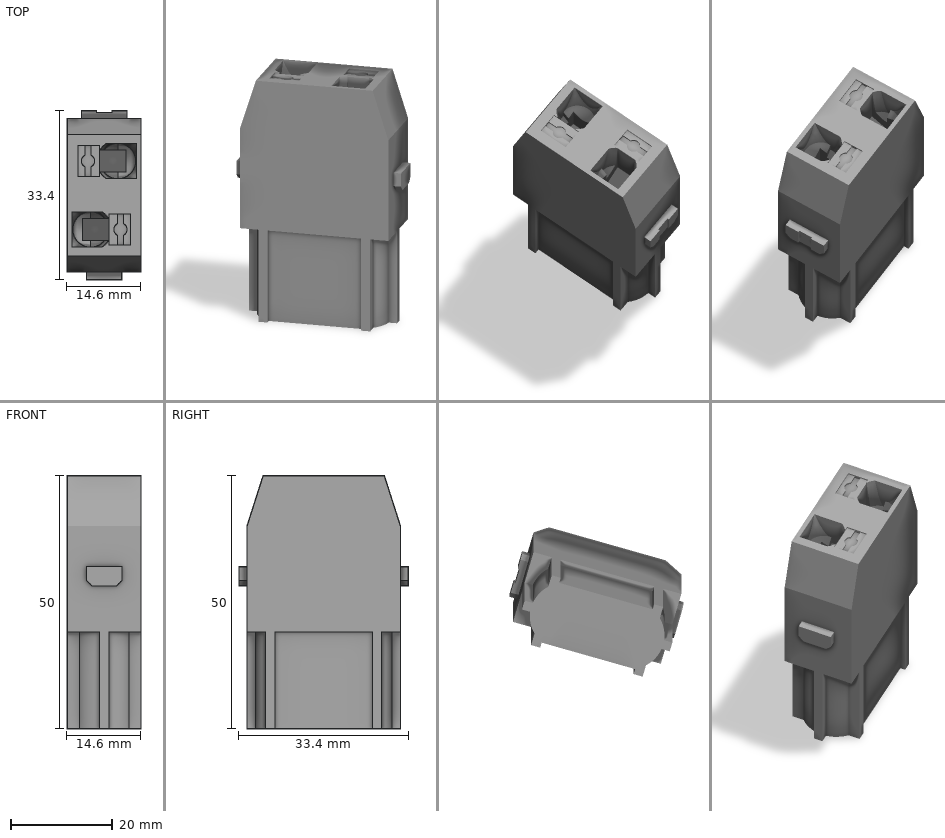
import cadquery as cq
import math


HEIGHT = 49.95
WIDTH = 14.6
LENGTH = 30.3
SKIRT_HEIGHT = 19.1
BEVEL_HEIGHT = 10.0
BEVEL_INSET = 3.2

TAB_REACH = 1.55
TAB_TOP = 32.0
TAB_HEIGHT = 3.8
TAB_CHAMFER = 1.05
FRONT_TAB_WIDTH = 7.0
REAR_TAB_WIDTH = 9.0
TAB_NOTCH_WIDTH = 3.0
TAB_NOTCH_DEPTH = 0.35

SIDE_RECESS = 1.05
SIDE_RIB_OUTER = 11.45
SIDE_RIB_WIDTH = 1.85
END_RADIUS = 6.8
KEY_WIDTH = 1.85

POLE_Y = 6.75
ENTRY_OUTER_X = -6.4
ENTRY_INNER_X = 0.9
FUNNEL_X = -2.7
ENTRY_LENGTH = 6.9
INNER_TOP_RADIUS = 4.15
FUNNEL_RADIUS = 3.5
FUNNEL_TIP_RADIUS = 1.5
OUTER_SEAT_DEPTH = 4.85
INNER_SEAT_DEPTH = 6.5

BUTTON_WIDTH = 4.3
BUTTON_LENGTH = 6.1
BUTTON_HEIGHT = 13.0
BUTTON_RECESS = 0.3
GROOVE_X = 3.2
GROOVE_WIDTH = 1.2
GROOVE_RADIUS = 1.3
GROOVE_DEPTH = 0.4

CLAMP_OUTER_X = -4.3
CLAMP_LENGTH = 4.4
CLAMP_SLOPE = 26.0
CLAMP_TOP_DEPTH = 8.6

BUTTON_BOTTOM = HEIGHT - BUTTON_RECESS - BUTTON_HEIGHT


def block(x_min, x_max, y_min, y_max, z_min, z_max):
    """Box between two opposite corners."""
    size = (x_max - x_min, y_max - y_min, z_max - z_min)
    return cq.Workplane("XY").box(*size, centered=False).translate((x_min, y_min, z_min))


def place_pole(part, pole):
    """Move a part built for pole 0 to the given pole (0 or 1)."""
    return part.rotate((0, 0, 0), (0, 0, 1), 180 * pole)


def upper_block():
    """Upper housing with bevelled shoulders towards both ends."""
    half = LENGTH / 2
    shoulder = HEIGHT - BEVEL_HEIGHT
    outline = [
        (-half, SKIRT_HEIGHT),
        (half, SKIRT_HEIGHT),
        (half, shoulder),
        (half - BEVEL_INSET, HEIGHT),
        (BEVEL_INSET - half, HEIGHT),
        (-half, shoulder),
    ]
    return cq.Workplane("YZ").polyline(outline).close().extrude(WIDTH / 2, both=True)


def skirt():
    """Plug skirt: core with four side ribs, and rounded ends that each carry a key rib."""
    half_width = WIDTH / 2
    core_x = half_width - SIDE_RECESS
    body = block(-core_x, core_x, -SIDE_RIB_OUTER, SIDE_RIB_OUTER, 0, SKIRT_HEIGHT)
    rib = block(-half_width, half_width, SIDE_RIB_OUTER - SIDE_RIB_WIDTH, SIDE_RIB_OUTER, 0, SKIRT_HEIGHT)
    round_end = cq.Workplane("XY").center(0, POLE_Y).circle(END_RADIUS).extrude(SKIRT_HEIGHT)
    round_end = round_end.intersect(
        block(-half_width, half_width, SIDE_RIB_OUTER, LENGTH / 2, 0, SKIRT_HEIGHT)
    )
    key = block(-KEY_WIDTH / 2, KEY_WIDTH / 2, 0, LENGTH / 2, 0, SKIRT_HEIGHT)
    end = rib.union(round_end).union(key)
    for pole in range(2):
        body = body.union(place_pole(end, pole))
    return body


def latch_tab(width):
    """Tab on the -Y end, with chamfered lower corners."""
    bottom = TAB_TOP - TAB_HEIGHT
    tab = block(-width / 2, width / 2, -LENGTH / 2 - TAB_REACH, 0, bottom, TAB_TOP)
    return tab.edges("|Y and <Z").chamfer(TAB_CHAMFER)


def rear_tab():
    """Wider tab on the +Y end, with a shallow notch across its face."""
    tab = place_pole(latch_tab(REAR_TAB_WIDTH), 1)
    face = LENGTH / 2 + TAB_REACH
    half_notch = TAB_NOTCH_WIDTH / 2
    return tab.cut(block(-half_notch, half_notch, face - TAB_NOTCH_DEPTH, face, 0, HEIGHT))


def half_funnel(top_radius, seat_depth, turn):
    """Half turn of a steep cone above a 45 degree cone, towards -X before the given turn."""
    seat = HEIGHT - seat_depth
    tip = seat - (FUNNEL_RADIUS - FUNNEL_TIP_RADIUS)
    profile = [
        (0, tip),
        (FUNNEL_TIP_RADIUS, tip),
        (FUNNEL_RADIUS, seat),
        (top_radius, HEIGHT),
        (0, HEIGHT),
    ]
    half = cq.Workplane("YZ").polyline(profile).close().revolve(180, (0, 0, 0), (0, 1, 0))
    return half.rotate((0, 0, 0), (0, 0, 1), turn).translate((FUNNEL_X, -POLE_Y, 0))


def wire_entry():
    """Entry with square corners on its outer half and rounded corners beside the button."""
    corner_radius = math.hypot(FUNNEL_X - ENTRY_OUTER_X, ENTRY_LENGTH / 2)
    outer = half_funnel(corner_radius, OUTER_SEAT_DEPTH, 0)
    inner = half_funnel(INNER_TOP_RADIUS, INNER_SEAT_DEPTH, 180)
    y_min = -POLE_Y - ENTRY_LENGTH / 2
    rectangle = block(ENTRY_OUTER_X, ENTRY_INNER_X, y_min, y_min + ENTRY_LENGTH, 0, HEIGHT)
    return outer.union(inner).intersect(rectangle)


def button_blank(top):
    """Plain button block up to the given height."""
    return block(
        ENTRY_INNER_X,
        ENTRY_INNER_X + BUTTON_WIDTH,
        -POLE_Y - BUTTON_LENGTH / 2,
        -POLE_Y + BUTTON_LENGTH / 2,
        BUTTON_BOTTOM,
        top,
    )


def clamp_blank():
    """Plain clamp block up to the top of the housing."""
    half_length = CLAMP_LENGTH / 2
    return block(
        CLAMP_OUTER_X, ENTRY_INNER_X, -POLE_Y - half_length, -POLE_Y + half_length, BUTTON_BOTTOM, HEIGHT
    )


def clamp_space():
    """Prism below the clamp's inclined face, which rises towards the button."""
    high = HEIGHT - CLAMP_TOP_DEPTH
    low = high - (ENTRY_INNER_X - CLAMP_OUTER_X) * math.tan(math.radians(CLAMP_SLOPE))
    outline = [
        (CLAMP_OUTER_X, 0),
        (ENTRY_INNER_X, 0),
        (ENTRY_INNER_X, high),
        (CLAMP_OUTER_X, low),
    ]
    return cq.Workplane("XZ").polyline(outline).close().extrude(LENGTH)


def make_housing():
    """Housing with the spaces for both poles cut out."""
    body = upper_block().union(skirt()).union(latch_tab(FRONT_TAB_WIDTH)).union(rear_tab())
    pole_space = wire_entry().union(button_blank(HEIGHT)).union(clamp_blank())
    for pole in range(2):
        body = body.cut(place_pole(pole_space, pole))
    return body


def make_button(pole):
    """Push button with a screwdriver groove that widens to a circle."""
    top = HEIGHT - BUTTON_RECESS
    floor = top - GROOVE_DEPTH
    half_groove = GROOVE_WIDTH / 2
    groove = block(GROOVE_X - half_groove, GROOVE_X + half_groove, -LENGTH, 0, floor, top)
    circle = cq.Workplane("XY", origin=(GROOVE_X, -POLE_Y, floor)).circle(GROOVE_RADIUS)
    button = button_blank(top).cut(groove).cut(circle.extrude(GROOVE_DEPTH))
    return place_pole(button, pole)


def make_clamp(pole):
    """Wire clamp: a block with an inclined top."""
    return place_pole(clamp_blank().intersect(clamp_space()), pole)


housing = make_housing()
buttons = [make_button(pole) for pole in range(2)]
clamps = [make_clamp(pole) for pole in range(2)]

result = cq.Compound.makeCompound([housing.val(), *[part.val() for part in buttons + clamps]])